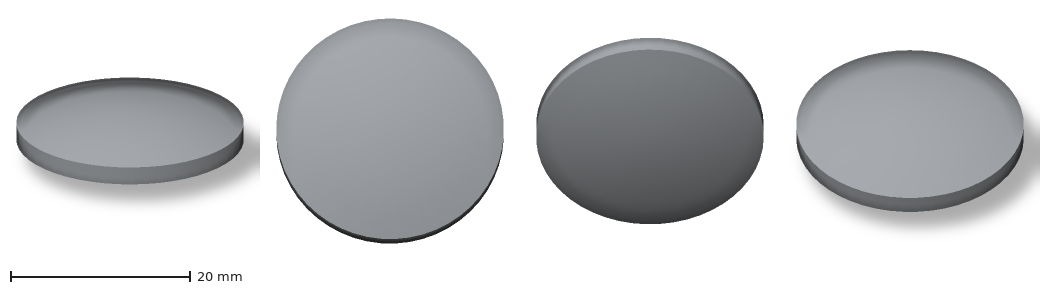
import cadquery as cq

diameter = 25.4
thickness = 6.78
rim_height = 2.05

radius = diameter / 2
half_rim = rim_height / 2
half_thickness = thickness / 2
cap_height = half_thickness - half_rim

sphere_radius = (radius**2 + cap_height**2) / (2 * cap_height)
sphere_center_z = half_thickness - sphere_radius

mid_x = radius / 2
mid_z = sphere_center_z + (sphere_radius**2 - mid_x**2) ** 0.5

half_section = (
    cq.Workplane("XZ")
    .moveTo(0, -half_thickness)
    .threePointArc((mid_x, -mid_z), (radius, -half_rim))
    .lineTo(radius, half_rim)
    .threePointArc((mid_x, mid_z), (0, half_thickness))
    .close()
)

result = half_section.revolve(360, (0, 0, 0), (0, 1, 0))